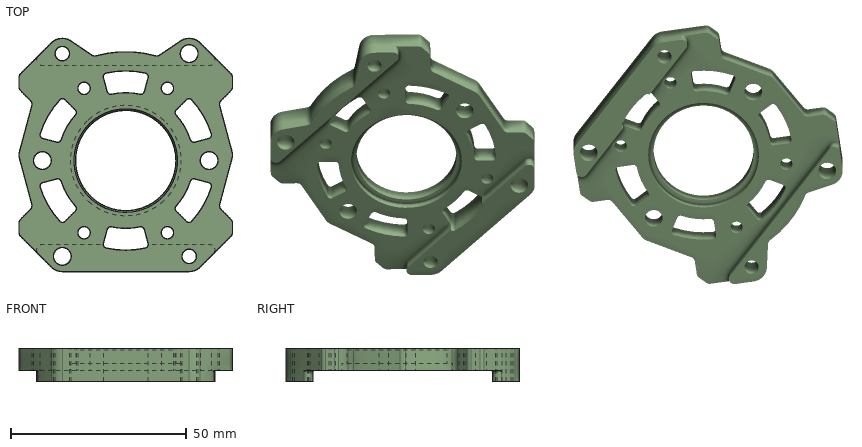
import cadquery as cq
import math

plate_thickness = 6.35
rail_height = 3.175
total_height = plate_thickness + rail_height

half_width = 30.52
outline_center_y = 1.5875
corner_hole_x = 18.11
corner_hole_offset_y = 28.94
corner_boss_radius = 4.39
crown_radius = 31.1
crown_flank_angle = 34.0
ear_slope_drop = 11.7
waist_slope_angle = 15.0
edge_radius = 1.5875
waist_radius = 3.0

channel_half_width = 25.55
rail_root_radius = 0.2

selection_reach = 0.01

bore_radius = 14.2875
bore_chamfer = 0.5
counterbore_radius = 15.8
counterbore_depth = 2.05

slot_count = 6
slot_inner_radius = 19.4
slot_outer_radius = 25.55
slot_half_angle = 15.0
slot_corner_radius = 1.0
bolt_circle_radius = 23.8
small_bolt_diameter = 3.45
large_hole_diameter = 5.0
small_corner_diameter = 4.05

corner_edge_sum = corner_hole_x + corner_hole_offset_y + corner_boss_radius * math.sqrt(2)
outline_half_length = corner_hole_offset_y + corner_boss_radius


def polar(radius, angle):
    """Point at a radius and an angle in degrees from +X."""
    return (radius * math.cos(math.radians(angle)), radius * math.sin(math.radians(angle)))


def boss_point(side, angle):
    """Point on the right-hand corner boss at the +Y (side 1) or -Y (side -1) end."""
    dx, dy = polar(corner_boss_radius, angle)
    return (corner_hole_x + dx, outline_center_y + side * corner_hole_offset_y + dy)


def crown_corner():
    """Point where the right-hand flank meets the crown arc."""
    normal_angle = 90 + crown_flank_angle
    normal_x, normal_y = polar(1, normal_angle)
    start_x, start_y = boss_point(1, normal_angle)
    offset = start_x * normal_x + start_y * normal_y
    along = math.sqrt(crown_radius**2 - offset**2)
    return (offset * normal_x + along * normal_y, offset * normal_y - along * normal_x)


def make_outline_prism():
    """Full-height prism of the outline, with all of its corners rounded."""
    waist_slope = math.tan(math.radians(waist_slope_angle))
    waist_tip_x = half_width + waist_radius * (1 / math.cos(math.radians(waist_slope_angle)) - 1)
    notch_y = (waist_tip_x - ear_slope_drop) / (1 + waist_slope)
    notch_x = ear_slope_drop + notch_y
    ear_outer_y = corner_edge_sum - half_width
    ear_inner_y = half_width - ear_slope_drop
    crown_x, crown_y = crown_corner()

    ears = [
        (x, outline_center_y + side * y)
        for side in (1, -1)
        for x, y in ((half_width, ear_outer_y), (half_width, ear_inner_y), (notch_x, notch_y))
    ]
    upper_ear = ears[:3]
    lower_ear = ears[:2:-1]
    waist_tip = (waist_tip_x, outline_center_y)

    profile = cq.Workplane("XY").moveTo(0, crown_radius)
    profile = profile.threePointArc(
        polar(crown_radius, (90 + math.degrees(math.atan2(crown_y, crown_x))) / 2),
        (crown_x, crown_y),
    )
    profile = profile.lineTo(*boss_point(1, 90 + crown_flank_angle))
    profile = profile.threePointArc(boss_point(1, 90), boss_point(1, 45))
    for point in upper_ear + [waist_tip] + lower_ear:
        profile = profile.lineTo(*point)
    profile = profile.lineTo(*boss_point(-1, -45))
    profile = profile.threePointArc(boss_point(-1, -67.5), boss_point(-1, -90))
    profile = profile.lineTo(0, outline_center_y - outline_half_length)
    prism = profile.mirrorY().extrude(total_height)

    rounded_corners = ears + [(crown_x, crown_y)]
    prism = prism.edges(vertical_edges_at(rounded_corners)).fillet(edge_radius)
    return prism.edges(vertical_edges_at([waist_tip])).fillet(waist_radius)


def vertical_edges_at(points):
    """Selector for the vertical edges at the given points and their mirror images in X."""
    reach = selection_reach
    boxes = [
        cq.selectors.BoxSelector(
            (sign * x - reach, y - reach, 0), (sign * x + reach, y + reach, total_height)
        )
        for x, y in points
        for sign in (1, -1)
    ]
    selector = boxes[0]
    for box in boxes[1:]:
        selector = selector + box
    return selector


def make_rail(side):
    """Rail at the +Y (side 1) or -Y (side -1) end, its ends following the corner edges."""
    inner_y = outline_center_y + side * channel_half_width
    outer_y = outline_center_y + side * outline_half_length
    inner_x = corner_edge_sum - channel_half_width
    outer_x = corner_edge_sum - outline_half_length
    corners = [(-inner_x, inner_y), (inner_x, inner_y), (outer_x, outer_y), (-outer_x, outer_y)]
    rail = cq.Workplane("XY").polyline(corners).close().extrude(rail_height)
    return rail.edges(vertical_edges_at([(inner_x, inner_y)])).fillet(edge_radius)


def make_body():
    """Plate with both rails, root fillets included, trimmed to the outline."""
    slab_margin = 5.0
    body = (
        cq.Workplane("XY", origin=(0, outline_center_y, rail_height))
        .rect(2 * (half_width + slab_margin), 2 * (outline_half_length + slab_margin))
        .extrude(plate_thickness)
    )
    for side in (1, -1):
        body = body.union(make_rail(side))
    root_reach = outline_half_length + selection_reach
    roots = cq.selectors.BoxSelector(
        (-half_width, outline_center_y - root_reach, rail_height - selection_reach),
        (half_width, outline_center_y + root_reach, rail_height + selection_reach),
    )
    body = body.edges(roots).fillet(rail_root_radius)
    return body.intersect(make_outline_prism())


def make_bore():
    """Cutter for the bore with its top chamfer and the counterbore from below."""
    ledge_z = rail_height + counterbore_depth
    return (
        cq.Workplane("XZ")
        .lineTo(counterbore_radius, 0)
        .lineTo(counterbore_radius, ledge_z)
        .lineTo(bore_radius, ledge_z)
        .lineTo(bore_radius, total_height - bore_chamfer)
        .lineTo(bore_radius + bore_chamfer, total_height)
        .lineTo(0, total_height)
        .close()
        .revolve(360, (0, 0, 0), (0, 1, 0))
    )


def make_slot(center_angle):
    """Cutter for one vent slot: a ring sector with rounded corners."""
    start = center_angle - slot_half_angle
    end = center_angle + slot_half_angle
    return (
        cq.Workplane("XY")
        .moveTo(*polar(slot_inner_radius, start))
        .lineTo(*polar(slot_outer_radius, start))
        .threePointArc(polar(slot_outer_radius, center_angle), polar(slot_outer_radius, end))
        .lineTo(*polar(slot_inner_radius, end))
        .threePointArc(polar(slot_inner_radius, center_angle), polar(slot_inner_radius, start))
        .close()
        .extrude(total_height)
        .edges("|Z")
        .fillet(slot_corner_radius)
    )


def make_holes(points, diameter):
    """Cutter for round through holes."""
    return cq.Workplane("XY").pushPoints(points).circle(diameter / 2).extrude(total_height)


def corner_hole(x_side, y_side):
    """Centre of the corner hole on the given sides."""
    return (x_side * corner_hole_x, outline_center_y + y_side * corner_hole_offset_y)


result = make_body().cut(make_bore())

for index in range(slot_count):
    result = result.cut(make_slot(90 + index * 360 / slot_count))

small_bolts = [polar(bolt_circle_radius, angle) for angle in (60, 120, 240, 300)]
large_bolts = [polar(bolt_circle_radius, angle) for angle in (0, 180)]
result = result.cut(make_holes(small_bolts, small_bolt_diameter))
result = result.cut(make_holes(large_bolts, large_hole_diameter))

small_corners = [corner_hole(-1, 1), corner_hole(1, -1)]
large_corners = [corner_hole(1, 1), corner_hole(-1, -1)]
result = result.cut(make_holes(small_corners, small_corner_diameter))
result = result.cut(make_holes(large_corners, large_hole_diameter))